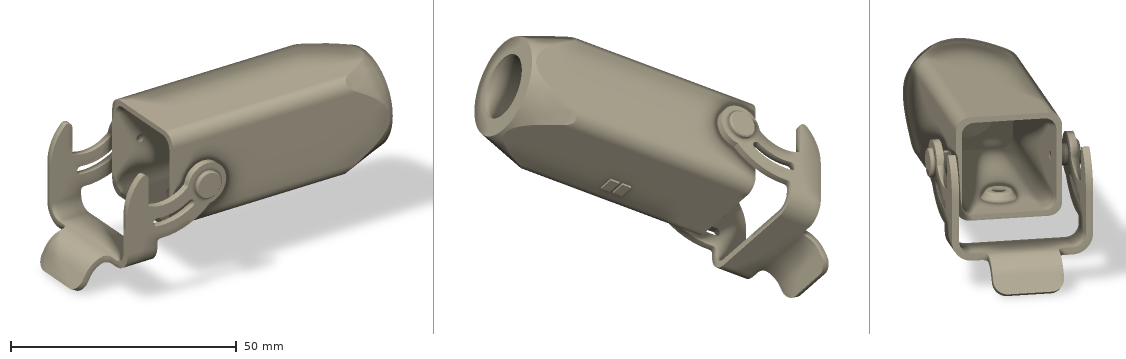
import cadquery as cq
import math

body_side = 23.95
body_length = 58.9
body_corner_radius = 3.1
mouth_wall = 1.3
cavity_draft = 0.2
cavity_corner_radius = 2.7
end_wall = 12.3
cable_hole_diameter = 15.05

cone_end_radius = 11.7
cone_rise = 4.3
cone_length = 13.1

boss_y = 11.1
boss_base_diameter = 8.2
boss_top_diameter = 6.2
boss_height = 1.9
boss_rim_chamfer = 0.3
boss_hole_diameter = 3.3

pad_size_x = 3.85
pad_size_y = 2.3
pad_height = 0.5
pad_x = 4.4
pad_y_positions = (24.6, 27.7)

pivot_y = 6.55
pin_diameter = 4.9
pin_head_diameter = 6.55
pin_head_chamfer = 0.25
pin_head_end = 17.0
pin_bore_diameter = 2.0
pin_bore_depth = 1.4

sheet = 1.6
lever_half_width = 15.95
bend_radius = 4.7
lever_bottom = -16.6
lever_front = -14.6
lever_back = -6.7

eye_radius = 5.1
arm_center = (-5.2, 8.0)
arm_inner_radius = 10.0
arm_outer_radius = 18.1
arm_end_angle = 24.0
arm_root_fillet = 0.7
eye_fillet = 1.0
slot_radius = 13.9
slot_width = 2.0
slot_start_angle = 32.3
slot_end_angle = -6.5

horn_back = -9.1
horn_tip_radius = 1.15
horn_front_radius = 11.9
horn_front_start = -2.1

tab_width = 16.0
tab_bend_radius = 6.7
tab_angle = 60.0
tab_flat = 0.2
tab_straight = 4.6
tab_corner_radius = 3.1
tab_root_radius = 1.4

body_half = body_side / 2
body_bottom = -body_half
floor_z = body_bottom + mouth_wall
sheet_inner_x = lever_half_width - sheet
bend_start = lever_bottom + bend_radius


def cylinder_x(diameter, x_start, x_end):
    """Cylinder on the pivot axis between two X positions."""
    plane = cq.Workplane("YZ", origin=(x_start, pivot_y, 0))
    return plane.circle(diameter / 2).extrude(x_end - x_start)


def on_arm_arc(radius, angle):
    """Point at an angle from straight down about the arm centre, positive towards the pivot."""
    a = math.radians(angle)
    return (arm_center[0] + radius * math.sin(a), arm_center[1] - radius * math.cos(a))


def near_edge(y, z):
    """Selector for the +X arm's edge along X that passes close to (y, z)."""
    reach = 0.4
    return cq.selectors.BoxSelector(
        (sheet_inner_x, y - reach, z - reach), (lever_half_width, y + reach, z + reach)
    )


def rounded_square(side, radius, y):
    return cq.Workplane("XZ", origin=(0, y, 0)).sketch().rect(side, side).vertices().fillet(radius).finalize()


def make_body():
    body = rounded_square(body_side, body_corner_radius, body_length).extrude(body_length)
    cone_back = body_length - cone_length
    cone = (
        cq.Workplane("XY")
        .moveTo(0, 0)
        .lineTo(body_side, 0)
        .lineTo(body_side, cone_back)
        .lineTo(cone_end_radius + cone_rise, cone_back)
        .lineTo(cone_end_radius, body_length)
        .lineTo(0, body_length)
        .close()
        .revolve(360, (0, 0, 0), (0, 1, 0))
    )
    body = body.intersect(cone)

    cavity_depth = body_length - end_wall
    mouth_side = body_side - 2 * mouth_wall
    draft_angle = math.degrees(math.atan(cavity_draft / cavity_depth))
    cavity = rounded_square(mouth_side, cavity_corner_radius, 0).extrude(-cavity_depth, taper=draft_angle)
    cable_hole = cq.Workplane("XZ").circle(cable_hole_diameter / 2).extrude(-body_length)
    return body.cut(cavity).cut(cable_hole)


def make_boss():
    base_z = body_bottom + mouth_wall / 2
    top_z = floor_z + boss_height
    return (
        cq.Workplane("XZ", origin=(0, boss_y, 0))
        .moveTo(boss_hole_diameter / 2, base_z)
        .lineTo(boss_base_diameter / 2, base_z)
        .lineTo(boss_base_diameter / 2, floor_z)
        .lineTo(boss_top_diameter / 2, top_z - boss_rim_chamfer)
        .lineTo(boss_top_diameter / 2 - boss_rim_chamfer, top_z)
        .lineTo(boss_hole_diameter / 2, top_z)
        .close()
        .revolve(360, (0, 0, 0), (0, 1, 0))
    )


def make_pads():
    return (
        cq.Workplane("XY", origin=(0, 0, body_bottom - pad_height))
        .pushPoints([(pad_x, y) for y in pad_y_positions])
        .rect(pad_size_x, pad_size_y)
        .extrude(pad_height + mouth_wall / 2)
    )


def make_pin():
    """Pin on the +X side, from inside the body wall to the outside of the lever."""
    shank = cylinder_x(pin_diameter, body_half - mouth_wall / 2, lever_half_width)
    head = cylinder_x(pin_head_diameter, lever_half_width, pin_head_end)
    return shank.union(head.faces(">X").chamfer(pin_head_chamfer))


def make_arm():
    """Flat arm on the +X side: eye, slotted curved band and horn."""
    plane = cq.Workplane("YZ", origin=(sheet_inner_x, 0, 0))
    eye = plane.center(pivot_y, 0).circle(eye_radius).extrude(sheet)

    eye_angle = math.degrees(math.atan2(pivot_y - arm_center[0], arm_center[1]))
    middle_angle = (eye_angle - arm_end_angle) / 2
    band = (
        plane.moveTo(*on_arm_arc(arm_inner_radius, eye_angle))
        .threePointArc(
            on_arm_arc(arm_inner_radius, middle_angle), on_arm_arc(arm_inner_radius, -arm_end_angle)
        )
        .lineTo(*on_arm_arc(arm_outer_radius, -arm_end_angle))
        .threePointArc(on_arm_arc(arm_outer_radius, middle_angle), on_arm_arc(arm_outer_radius, eye_angle))
        .close()
        .extrude(sheet)
    )

    front_center_y = lever_front + horn_front_radius
    tip_y = horn_back - horn_tip_radius
    center_distance = horn_front_radius - horn_tip_radius
    tip_angle = math.acos((front_center_y - tip_y) / center_distance)
    tip_z = horn_front_start + center_distance * math.sin(tip_angle)

    def on_front_arc(angle):
        return (
            front_center_y - horn_front_radius * math.cos(angle),
            horn_front_start + horn_front_radius * math.sin(angle),
        )

    arm_middle = arm_center[1] - slot_radius
    horn = (
        plane.moveTo(lever_front, bend_start)
        .lineTo(lever_front, horn_front_start)
        .threePointArc(on_front_arc(tip_angle / 2), on_front_arc(tip_angle))
        .threePointArc((tip_y, tip_z + horn_tip_radius), (horn_back, tip_z))
        .lineTo(horn_back, arm_middle)
        .lineTo(lever_back, arm_middle)
        .lineTo(lever_back, bend_start)
        .close()
        .extrude(sheet)
    )

    eye_distance = math.hypot(pivot_y - arm_center[0], arm_center[1])
    cosine = (arm_inner_radius**2 + eye_distance**2 - eye_radius**2) / (2 * arm_inner_radius * eye_distance)
    eye_joint = on_arm_arc(arm_inner_radius, eye_angle - math.degrees(math.acos(cosine)))

    arm = eye.union(band).union(horn)
    arm = arm.edges(near_edge(*eye_joint)).fillet(eye_fillet)
    root_z = arm_center[1] - arm_outer_radius
    arm = arm.edges(near_edge(lever_back, root_z)).fillet(arm_root_fillet)

    slot_middle = (slot_start_angle + slot_end_angle) / 2
    slot_inner = slot_radius - slot_width / 2
    slot_outer = slot_radius + slot_width / 2
    slot = (
        plane.moveTo(*on_arm_arc(slot_inner, slot_start_angle))
        .threePointArc(on_arm_arc(slot_inner, slot_middle), on_arm_arc(slot_inner, slot_end_angle))
        .lineTo(*on_arm_arc(slot_outer, slot_end_angle))
        .threePointArc(on_arm_arc(slot_outer, slot_middle), on_arm_arc(slot_outer, slot_start_angle))
        .close()
        .extrude(sheet)
    )
    slot_ends = (
        plane.pushPoints([on_arm_arc(slot_radius, a) for a in (slot_start_angle, slot_end_angle)])
        .circle(slot_width / 2)
        .extrude(sheet)
    )
    return arm.cut(slot).cut(slot_ends)


def make_bridge():
    """Cross strip joining the two arms, with its rounded bends."""
    length = lever_back - lever_front
    height = 2 * bend_radius
    plane = cq.Workplane("XZ", origin=(0, lever_back, 0))

    def slab(width, depth, radius):
        block = plane.center(0, bend_start).rect(width, depth).extrude(length)
        return block.edges("|Y").edges("<Z").fillet(radius)

    outer = slab(2 * lever_half_width, height, bend_radius)
    inner = slab(2 * sheet_inner_x, height - 2 * sheet, bend_radius - sheet)
    upper = cq.Workplane("XY", origin=(0, 0, bend_start)).box(
        4 * lever_half_width, 4 * lever_half_width, height, centered=(True, True, False)
    )
    return outer.cut(inner).cut(upper)


def make_tab():
    """Finger tab that leaves the bridge level and curls down."""
    a = math.radians(tab_angle)
    top = lever_bottom + sheet
    bend_y = lever_front - tab_flat
    bend_z = top - tab_bend_radius
    inner_radius = tab_bend_radius - sheet

    def on_bend(radius, angle):
        return (bend_y - radius * math.sin(angle), bend_z + radius * math.cos(angle))

    def tab_end(radius):
        y, z = on_bend(radius, a)
        return (y - tab_straight * math.cos(a), z - tab_straight * math.sin(a))

    flare_width = tab_width + 2 * tab_root_radius
    root_y = lever_front + sheet
    strip = (
        cq.Workplane("YZ", origin=(-flare_width / 2, 0, 0))
        .moveTo(root_y, top)
        .lineTo(bend_y, top)
        .threePointArc(on_bend(tab_bend_radius, a / 2), on_bend(tab_bend_radius, a))
        .lineTo(*tab_end(tab_bend_radius))
        .lineTo(*tab_end(inner_radius))
        .lineTo(*on_bend(inner_radius, a))
        .threePointArc(on_bend(inner_radius, a / 2), (bend_y, lever_bottom))
        .lineTo(root_y, lever_bottom)
        .close()
        .extrude(flare_width)
    )

    trim_length = tab_bend_radius + 2 * tab_straight
    trim_height = 2 * trim_length
    for side in (-1, 1):
        x = side * (tab_width / 2 + tab_root_radius)
        y = lever_front - tab_root_radius
        plane = cq.Workplane("XY", origin=(x, y, lever_bottom - trim_length))
        round_cut = plane.circle(tab_root_radius).extrude(trim_height)
        side_plane = plane.center(0, -trim_length / 2)
        side_cut = side_plane.rect(2 * tab_root_radius, trim_length).extrude(trim_height)
        strip = strip.cut(round_cut).cut(side_cut)
    return strip.faces("<Z").edges("not |X").fillet(tab_corner_radius)


side_parts = make_pin().union(make_arm())
result = make_body().union(make_boss()).union(make_pads()).union(make_bridge()).union(make_tab())
result = result.union(side_parts).union(side_parts.mirror("YZ"))

cavity_half = body_half - mouth_wall
bore_end = cavity_half + pin_bore_depth
for side in (-1, 1):
    result = result.cut(cylinder_x(pin_bore_diameter, side * (cavity_half - mouth_wall), side * bore_end))